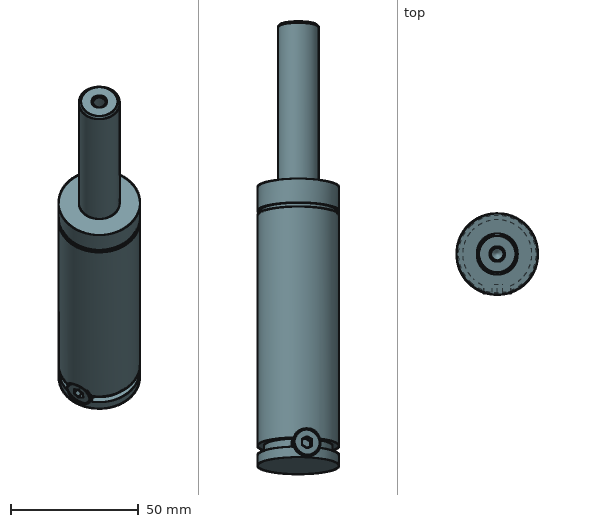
import cadquery as cq
import math

total_length = 176.5
body_diameter = 32.0
body_length = 111.5
rod_diameter = 16.0
rod_chamfer = 0.9

base_groove_bottom = 4.2
base_groove_width = 3.7
base_groove_diameter = 27.0
cap_height = 9.5
cap_groove_width = 1.6
cap_groove_diameter = 30.4

plug_diameter = 11.0
plug_face_diameter = 10.0
plug_height = 6.2
plug_face_offset = 15.5
plug_length = 5.3
socket_across_flats = 4.0
socket_depth = 3.5

rod_hole_diameter = 5.0
rod_hole_mouth_diameter = 6.0
rod_hole_depth = 10.6
drill_tip_angle = 118.0


def ring_groove(bottom, width, floor_diameter):
    """Ring to remove between the groove floor and the body surface."""
    return (
        cq.Workplane("XY", origin=(0, 0, bottom))
        .circle(body_diameter)
        .circle(floor_diameter / 2)
        .extrude(width)
    )


def plug_workplane(offset):
    """Plane facing -Y, centred on the plug, at a distance from the body axis."""
    return cq.Workplane("XZ", origin=(0, -offset, plug_height))


def make_body():
    cap_groove_bottom = body_length - cap_height - cap_groove_width
    body = cq.Workplane("XY").circle(body_diameter / 2).extrude(body_length)
    body = body.cut(ring_groove(base_groove_bottom, base_groove_width, base_groove_diameter))
    return body.cut(ring_groove(cap_groove_bottom, cap_groove_width, cap_groove_diameter))


def make_rod():
    return (
        cq.Workplane("XY", origin=(0, 0, body_length))
        .circle(rod_diameter / 2)
        .extrude(total_length - body_length)
        .faces(">Z")
        .chamfer(rod_chamfer)
    )


def make_plug():
    edge_chamfer = (plug_diameter - plug_face_diameter) / 2
    return (
        plug_workplane(plug_face_offset - plug_length)
        .circle(plug_diameter / 2)
        .extrude(plug_length)
        .faces("<Y")
        .chamfer(edge_chamfer)
    )


def make_plug_seat():
    """Round seat that clears the body material around and in front of the plug."""
    return plug_workplane(plug_face_offset - plug_length).circle(plug_diameter / 2).extrude(body_diameter)


def make_plug_socket():
    """Hexagonal key socket with a corner pointing up."""
    across_corners = socket_across_flats / math.cos(math.pi / 6)
    return (
        plug_workplane(plug_face_offset - socket_depth)
        .transformed(rotate=(0, 0, 90))
        .polygon(6, across_corners)
        .extrude(socket_depth)
    )


def make_rod_hole():
    """Drilled hole with a countersunk mouth and a conical bottom."""
    radius = rod_hole_diameter / 2
    mouth_radius = rod_hole_mouth_diameter / 2
    mouth_depth = mouth_radius - radius
    floor = total_length - rod_hole_depth
    tip_depth = radius / math.tan(math.radians(drill_tip_angle / 2))
    return (
        cq.Workplane("XZ")
        .moveTo(0, total_length)
        .lineTo(mouth_radius, total_length)
        .lineTo(radius, total_length - mouth_depth)
        .lineTo(radius, floor)
        .lineTo(0, floor - tip_depth)
        .close()
        .revolve(360, (0, 0, 0), (0, 1, 0))
    )


result = (
    make_body()
    .cut(make_plug_seat())
    .union(make_plug())
    .cut(make_plug_socket())
    .union(make_rod())
    .cut(make_rod_hole())
)